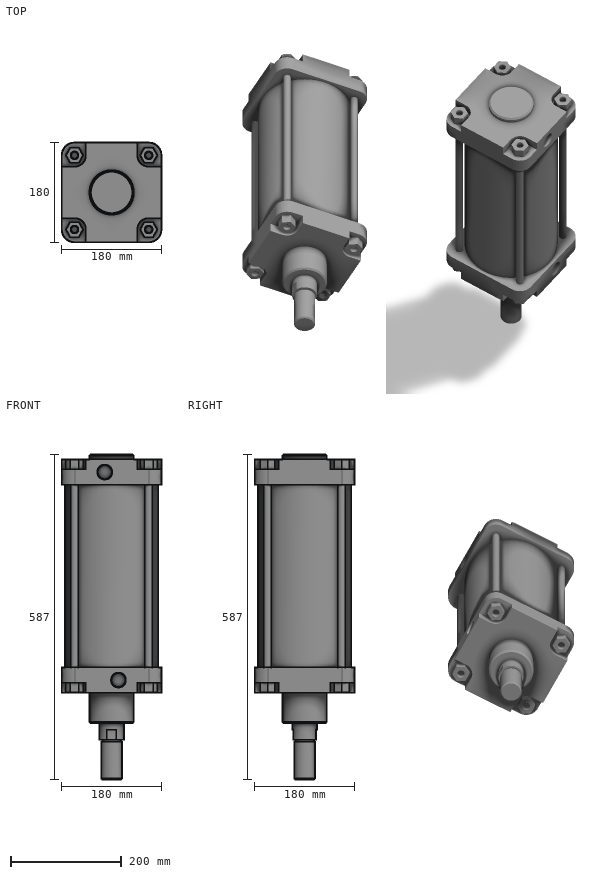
import cadquery as cq
import math

total_length = 587.0

cap_side = 180.0
cap_height = 46.0
cap_corner_radius = 23.5
boss_diameter = 80.5
rear_boss_height = 9.5
gland_length = 55.0
boss_chamfer = 3.0

port_diameter = 25.0
port_chamfer = 0.9
port_depth = 17.5
port_offset = 12.5

rod_spacing = 134.0
rod_diameter = 13.5
nut_across_flats = 27.0
nut_height = 17.0
socket_diameter = 12.5
socket_chamfer = 0.9
socket_depth = 12.0
pocket_depth = 17.5
pocket_radius = 20.5

barrel_diameter = 168.5

piston_rod_length = 101.5
piston_rod_diameter = 45.0
shoulder_length = 11.0
flats_length = 19.0
across_flats = 41.5
neck_diameter = 34.5
neck_length = 3.0
thread_diameter = 38.0
thread_chamfer = 2.5

rear_cap_top = total_length - rear_boss_height
rear_cap_bottom = rear_cap_top - cap_height
gland_face = piston_rod_length
front_cap_bottom = gland_face + gland_length
front_cap_top = front_cap_bottom + cap_height
rod_offset = rod_spacing / 2
rod_places = [(sx * rod_offset, sy * rod_offset) for sx in (-1, 1) for sy in (-1, 1)]


def cylinder(diameter, z_low, z_high):
    """Round bar on the Z axis between two heights."""
    return cq.Workplane("XY").workplane(offset=z_low).circle(diameter / 2).extrude(z_high - z_low)


def blind_hole(diameter, depth, mouth_chamfer):
    """Cutter for a blind hole that runs up from the origin and has a chamfered mouth."""
    radius = diameter / 2
    return (
        cq.Workplane("XZ")
        .moveTo(0, 0)
        .lineTo(radius + mouth_chamfer, 0)
        .lineTo(radius, mouth_chamfer)
        .lineTo(radius, depth)
        .lineTo(0, depth)
        .close()
        .revolve(360, (0, 0, 0), (0, 1, 0))
    )


def make_pockets(z_low):
    """Corner pockets around the tie rods, open towards the two nearest sides."""
    pocket_side = 2 * (cap_side / 2 - rod_offset + pocket_radius)
    return (
        cq.Workplane("XY", origin=(0, 0, z_low))
        .rect(cap_side, cap_side, forConstruction=True)
        .vertices()
        .rect(pocket_side, pocket_side)
        .extrude(pocket_depth)
        .edges("|Z")
        .fillet(pocket_radius)
    )


def make_cap(z_low, pocket_floor_low, port_x):
    """Square cap with nut pockets, tie rod holes and a blind port."""
    cap = (
        cq.Workplane("XY", origin=(0, 0, z_low))
        .rect(cap_side, cap_side)
        .extrude(cap_height)
        .edges("|Z")
        .fillet(cap_corner_radius)
    )
    rod_holes = (
        cq.Workplane("XY", origin=(0, 0, z_low))
        .pushPoints(rod_places)
        .circle(rod_diameter / 2)
        .extrude(cap_height)
    )
    port = blind_hole(port_diameter, port_depth, port_chamfer)
    port = port.rotate((0, 0, 0), (1, 0, 0), -90)
    port = port.translate((port_x, -cap_side / 2, z_low + cap_height / 2))
    return cap.cut(make_pockets(pocket_floor_low)).cut(rod_holes).cut(port)


def make_rear_cap():
    """Upper cap with a low boss."""
    boss = cylinder(boss_diameter, rear_cap_top, total_length).faces(">Z").chamfer(boss_chamfer)
    return make_cap(rear_cap_bottom, rear_cap_top - pocket_depth, -port_offset).union(boss)


def make_front_cap():
    """Lower cap with the long gland that the piston rod leaves from."""
    gland = cylinder(boss_diameter, gland_face, front_cap_bottom).faces("<Z").chamfer(boss_chamfer)
    return make_cap(front_cap_bottom, front_cap_bottom, port_offset).union(gland)


def make_tie_rod(place):
    """Tie rod with a socketed hexagonal nut seated in the pocket at each end."""
    x, y = place
    upper_seat = rear_cap_top - pocket_depth
    lower_seat = front_cap_bottom + pocket_depth
    across_corners = nut_across_flats / math.cos(math.pi / 6)
    lower_socket = blind_hole(socket_diameter, socket_depth, socket_chamfer)
    upper_socket = lower_socket.mirror("XY")
    tie_rod = (
        cq.Workplane("XY", origin=(x, y, lower_seat))
        .circle(rod_diameter / 2)
        .extrude(upper_seat - lower_seat)
    )
    for seat, height, socket in (
        (upper_seat, nut_height, upper_socket),
        (lower_seat, -nut_height, lower_socket),
    ):
        nut = cq.Workplane("XY", origin=(x, y, seat)).polygon(6, across_corners).extrude(height)
        tie_rod = tie_rod.union(nut.cut(socket.translate((x, y, seat + height))))
    return tie_rod


def make_piston_rod():
    """Piston rod end: round shoulder, two wrench flats, neck and chamfered thread."""
    flats_top = gland_face - shoulder_length
    flats_bottom = flats_top - flats_length
    thread_top = flats_bottom - neck_length
    shoulder = cylinder(piston_rod_diameter, flats_top, gland_face)
    flatted = cylinder(piston_rod_diameter, flats_bottom, flats_top).intersect(
        cq.Workplane("XY", origin=(0, 0, flats_bottom))
        .rect(piston_rod_diameter, across_flats)
        .extrude(flats_length)
    )
    neck = cylinder(neck_diameter, thread_top, flats_bottom)
    thread = cylinder(thread_diameter, 0, thread_top).faces("<Z").chamfer(thread_chamfer)
    return shoulder.union(flatted).union(neck).union(thread)


rear_cap = make_rear_cap()
front_cap = make_front_cap()
barrel = cylinder(barrel_diameter, front_cap_top, rear_cap_bottom)
piston_rod = make_piston_rod()
tie_rods = [make_tie_rod(place) for place in rod_places]

result = cq.Compound.makeCompound(
    [
        rear_cap.val(),
        front_cap.val(),
        barrel.val(),
        piston_rod.val(),
        *[tie_rod.val() for tie_rod in tie_rods],
    ]
)